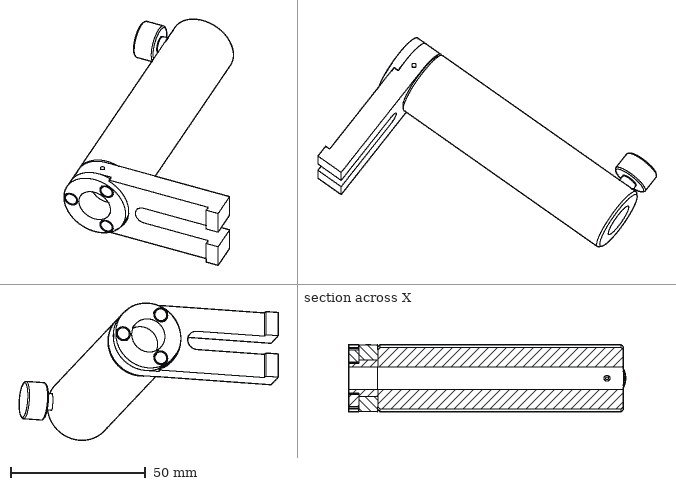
import cadquery as cq
import math


overall_length = 103

tube_diameter = 25.0
tube_radius = tube_diameter / 2
bore_radius = 6.4
tube_end_chamfer = 0.8
tube_back = 102.0

arm_back = 10.8
arm_front = 1.9
arm_end = 49.9
foot_width = 4.8
slot_width = 7.0
slot_start = 15.6
recess_radius = 13.0
recess_step_x = 5.0
top_hole_radius = 0.8
top_hole_y = 7.3

cap_thickness = 3.7
sleeve_radius = 8.2
pin_count = 3
pin_radius = 2.3
pin_hole_radius = 2.7
pin_circle_radius = 9.6

knob_radius = 7.0
knob_length = 7.9
knob_chamfer = 0.5
knob_outer_x = -23.0
screw_y = overall_length - knob_radius
stud_radius = 3.1
collar_length = 0.3
stud_tip_radius = 0.5
stud_tip_x = -5.8

knob_inner_x = knob_outer_x + knob_length
collar_end_x = knob_inner_x + collar_length


def rod_along_y(radius, front, back, x=0, z=0):
    """Round bar between two Y positions."""
    plane = cq.Workplane("XZ", origin=(x, front, z))
    return plane.circle(radius).extrude(front - back)


def rod_along_x(radius, left, right):
    """Round bar on the thumb screw axis between two X positions."""
    return cq.Workplane("YZ", origin=(left, screw_y, 0)).circle(radius).extrude(right - left)


def box_between(left, right, front, back, height):
    """Block centred on Z = 0."""
    plane = cq.Workplane("XY", origin=((left + right) / 2, (front + back) / 2, 0))
    return plane.box(right - left, back - front, height)


def make_knob():
    """Chamfered knob with a short collar against the stud."""
    knob = rod_along_x(knob_radius, knob_outer_x, knob_inner_x).edges().chamfer(knob_chamfer)
    return knob.union(rod_along_x(stud_radius, knob_inner_x, collar_end_x))


def make_stud():
    """Stud whose conical end pokes slightly into the tube bore."""
    cone_length = stud_radius - stud_tip_radius
    stud = rod_along_x(stud_radius, collar_end_x, stud_tip_x)
    return stud.faces(">X").chamfer(cone_length)


def make_tube(stud):
    """Bored tube with a side hole that fits the stud."""
    tube = rod_along_y(tube_radius, arm_back, tube_back).edges().chamfer(tube_end_chamfer)
    return tube.cut(rod_along_y(bore_radius, arm_back, tube_back)).cut(stud)


def make_arm_blank():
    """Plate with a round end on the tube axis and a foot at the far end."""
    blank = rod_along_y(tube_radius, arm_front, arm_back)
    blank = blank.union(box_between(0, arm_end, arm_front, arm_back, tube_diameter))
    return blank.union(box_between(arm_end - foot_width, arm_end, 0, arm_back, tube_diameter))


def make_fork_slot():
    """Round-bottomed slot, open at the foot end."""
    slot_centre = slot_start + slot_width / 2
    slot = rod_along_y(slot_width / 2, 0, arm_back, x=slot_centre)
    return slot.union(box_between(slot_centre, arm_end, 0, arm_back, slot_width))


def make_cap_recess():
    """Round clearance for the cap, squared off up to a step on the upper and lower edges."""
    recess = rod_along_y(recess_radius, 0, cap_thickness)
    return recess.union(box_between(-tube_radius, recess_step_x, 0, cap_thickness, tube_diameter))


def make_arm():
    """Fork arm with the cap recess, sleeve hole and a small hole from the top to the sleeve."""
    top_hole = cq.Workplane("XY", origin=(0, top_hole_y, 0)).circle(top_hole_radius)
    arm = make_arm_blank().cut(make_fork_slot()).cut(make_cap_recess())
    arm = arm.cut(rod_along_y(sleeve_radius, 0, arm_back))
    return arm.cut(top_hole.extrude(tube_radius))


def pin_places():
    """X and Z of the pins, the first one on the thumb screw side."""
    angles = [math.pi + 2 * math.pi * i / pin_count for i in range(pin_count)]
    return [(pin_circle_radius * math.cos(a), pin_circle_radius * math.sin(a)) for a in angles]


def make_cap():
    """Bored cap with pin holes; its sleeve reaches through the arm to the tube."""
    cap = rod_along_y(tube_radius, 0, cap_thickness)
    cap = cap.union(rod_along_y(sleeve_radius, 0, arm_back))
    cap = cap.cut(rod_along_y(bore_radius, 0, arm_back))
    for x, z in pin_places():
        cap = cap.cut(rod_along_y(pin_hole_radius, 0, cap_thickness, x, z))
    return cap


def make_pin(x, z):
    """Pin as deep as the cap, with a small clearance all around."""
    return rod_along_y(pin_radius, 0, cap_thickness, x, z)


knob = make_knob()
stud = make_stud()
tube = make_tube(stud)
arm = make_arm()
cap = make_cap()
pins = [make_pin(x, z) for x, z in pin_places()]

result = cq.Compound.makeCompound(
    [tube.val(), arm.val(), cap.val(), knob.val(), stud.val()] + [pin.val() for pin in pins]
)